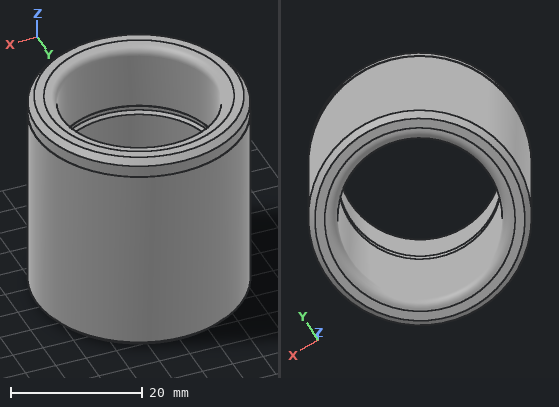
import cadquery as cq

height = 35.0
outer_radius = 34.0 / 2
chamfer = 1.0

lead_length = 3.0
lead_step = 0.07
lead_radius = outer_radius - lead_step
end_face_radius = outer_radius - chamfer

liner_radius = 14.5
bore_radius = 12.5
mouth_round = 1.5

groove_depth = 0.5
groove_floor_width = 0.7
groove_z = height * 2 / 3


def make_shell():
    """Revolve the outer sleeve, chamfered at both ends."""
    return (
        cq.Workplane("XZ")
        .moveTo(liner_radius, 0)
        .lineTo(end_face_radius, 0)
        .lineTo(outer_radius, chamfer)
        .lineTo(outer_radius, height - lead_length)
        .lineTo(lead_radius, height - lead_length)
        .lineTo(lead_radius, height - chamfer)
        .lineTo(end_face_radius, height)
        .lineTo(liner_radius, height)
        .close()
        .revolve(360, (0, 0, 0), (0, 1, 0))
    )


def make_groove():
    """Ring with 45 degree flanks that cuts the lubrication groove."""
    half_floor = groove_floor_width / 2
    half_mouth = half_floor + groove_depth
    floor_radius = bore_radius + groove_depth
    return (
        cq.Workplane("XZ")
        .moveTo(bore_radius, groove_z - half_mouth)
        .lineTo(floor_radius, groove_z - half_floor)
        .lineTo(floor_radius, groove_z + half_floor)
        .lineTo(bore_radius, groove_z + half_mouth)
        .close()
        .revolve(360, (0, 0, 0), (0, 1, 0))
    )


def make_liner():
    """Full-length liner with rounded bore mouths and a lubrication groove."""
    tube = cq.Workplane("XY").circle(liner_radius).circle(bore_radius).extrude(height)
    rounded = tube.edges(cq.selectors.RadiusNthSelector(0)).fillet(mouth_round)
    return rounded.cut(make_groove())


shell = make_shell()
liner = make_liner()
result = cq.Compound.makeCompound([shell.val(), *liner.vals()])